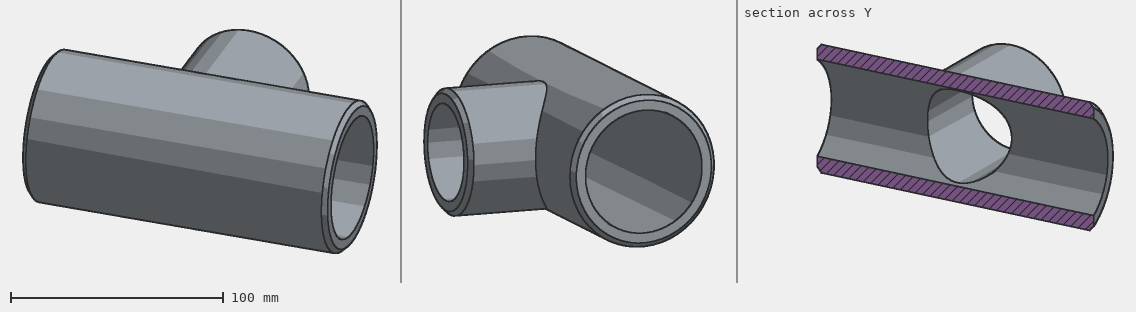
import cadquery as cq

run_length = 152.4
run_diameter = 73.0
wall = 7.0
run_bore = run_diameter - 2 * wall

branch_diameter = 60.4
branch_reach = 70.0
branch_bore = branch_diameter - 2 * wall

end_chamfer = 2.3


def cylinder_along_x(diameter):
    return cq.Workplane("YZ").circle(diameter / 2).extrude(run_length / 2, both=True)


def cylinder_along_y(diameter):
    return cq.Workplane("XZ").circle(diameter / 2).extrude(-branch_reach)


run = cylinder_along_x(run_diameter).faces("<X or >X").chamfer(end_chamfer)
branch = cylinder_along_y(branch_diameter).faces(">Y").chamfer(end_chamfer)

result = (
    run.union(branch)
    .cut(cylinder_along_x(run_bore))
    .cut(cylinder_along_y(branch_bore))
)